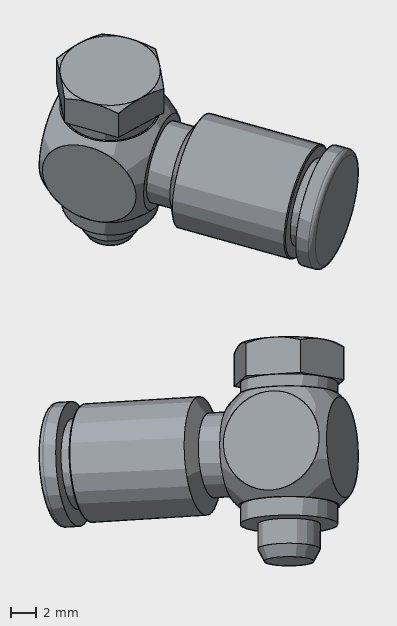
import cadquery as cq
import math


overall_length = 24.12

block_size = 9.0
block_face_diameter = 8.05
block_half = block_size / 2
trim_radius = math.hypot(block_half, block_face_diameter / 2)

neck_diameter = 6.8
neck_length = 2.0
cone_length = 0.75
sleeve_diameter = 9.5
sleeve_chamfer = 0.1

collar_diameter = 7.3
collar_length = 1.01
flange_diameter = 10.0
flange_thickness = 1.52
flange_fillet = 0.43

washer_diameter = 7.8
upper_washer_thickness = 1.0
lower_washer_thickness = 1.5

shank_diameter = 5.0
head_across_flats = 8.0
head_height = 3.02
head_across_corners = head_across_flats / math.cos(math.pi / 6)
head_chamfer_angle = 30
thread_length = 3.02
tip_length = 1.0
tip_diameter = 3.95

neck_end = block_half + neck_length
cone_end = neck_end + cone_length
ring_end = overall_length - head_across_corners / 2
sleeve_end = ring_end - flange_thickness - collar_length
sleeve_length = sleeve_end - cone_end
head_bottom = block_half + upper_washer_thickness
lower_washer_bottom = -block_half - lower_washer_thickness
bolt_bottom = lower_washer_bottom - thread_length


def cylinder_z(diameter, bottom, height):
    return cq.Workplane("XY").workplane(offset=bottom).circle(diameter / 2).extrude(height)


def cylinder_x(diameter, start, length):
    return cq.Workplane("YZ").workplane(offset=start).circle(diameter / 2).extrude(length)


def make_banjo_body():
    block = cq.Workplane("XY").box(block_size, block_size, block_size)
    block = block.intersect(cq.Workplane("XY").sphere(trim_radius))
    neck = cylinder_x(neck_diameter, 0, neck_end)
    cone = (
        cq.Workplane("YZ").workplane(offset=neck_end).circle(neck_diameter / 2)
        .workplane(offset=cone_length).circle(sleeve_diameter / 2).loft(ruled=True)
    )
    sleeve = cylinder_x(sleeve_diameter, cone_end, sleeve_length)
    sleeve = sleeve.faces(">X").edges().chamfer(sleeve_chamfer)
    shank_hole = cylinder_z(shank_diameter, -block_half, block_size)
    return block.union(neck).union(cone).union(sleeve).cut(shank_hole)


def make_release_ring():
    collar = cylinder_x(collar_diameter, sleeve_end, collar_length)
    flange = cylinder_x(flange_diameter, sleeve_end + collar_length, flange_thickness)
    flange = flange.faces(">X").edges().fillet(flange_fillet)
    return collar.union(flange)


def make_washer(bottom, thickness):
    hole = cylinder_z(shank_diameter, bottom, thickness)
    return cylinder_z(washer_diameter, bottom, thickness).cut(hole)


def make_bolt_head():
    head = (
        cq.Workplane("XY").workplane(offset=head_bottom)
        .polygon(6, head_across_corners).extrude(head_height)
    )
    corner_overhang = (head_across_corners - head_across_flats) / 2
    corner_drop = corner_overhang * math.tan(math.radians(head_chamfer_angle))
    trim = cylinder_z(head_across_corners, head_bottom, head_height)
    trim = trim.faces(">Z").edges().chamfer(corner_drop, corner_overhang)
    return head.intersect(trim)


def make_bolt():
    shank = cylinder_z(shank_diameter, bolt_bottom, head_bottom - bolt_bottom)
    tip_inset = (shank_diameter - tip_diameter) / 2
    shank = shank.faces("<Z").edges().chamfer(tip_length, tip_inset)
    return make_bolt_head().union(shank)


banjo_body = make_banjo_body()
release_ring = make_release_ring()
upper_washer = make_washer(block_half, upper_washer_thickness)
lower_washer = make_washer(lower_washer_bottom, lower_washer_thickness)
bolt = make_bolt()

result = cq.Compound.makeCompound([
    banjo_body.solids().val(),
    release_ring.solids().val(),
    upper_washer.solids().val(),
    lower_washer.solids().val(),
    bolt.solids().val(),
])